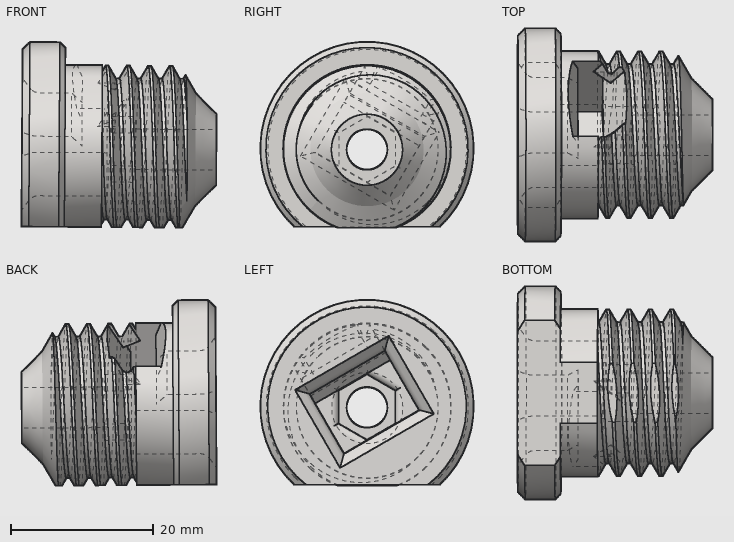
import cadquery as cq
import math


overlap = 1.0

head_radius = 15.0
head_length = 6.05
head_front_chamfer = 1.05
head_back_chamfer = 0.8
neck_radius = 11.8
neck_end = 11.25
tip_radius = 5.0
tip_chamfer = 2.95
tip_cone_angle = 60.0
total_length = 27.35
flat_depth = 11.0
body_tilt = 0.4

pitch = 3.0
crest_radius = 11.75
root_radius = 9.95
crest_width = 0.4
flank_angle = 30.0
thread_start = 7.37
ridge_embed = 0.3

passage_roll = -30.0
slot_half_width = 6.1
slot_bottom = -4.1
slot_top = 5.55
slot_end = 11.94
entry_chamfer = 1.5
entry_round = 2.0
lip_height = 1.5
window_start = 8.4
window_flare_height = 8.1
window_flare_angle = 20.5
window_roof_height = 5.35
window_roof_angle = 30.0
cutter_reach = 16.0
corner_web_height = 7.2
corner_web_length = 2.4
corner_web_width = 1.87

nut_flats = 8.0
nut_round = 0.93
nut_depth = 4.0
bolt_diameter = 5.7


def make_ridge():
    """Right-handed helical ridge, long enough to run out past both ends of the thread."""
    base_radius = root_radius - ridge_embed
    half_crest = crest_width / 2
    half_base = half_crest + (crest_radius - base_radius) * math.tan(math.radians(flank_angle))
    height = total_length - thread_start
    helix = cq.Wire.makeHelix(pitch, height, root_radius)
    ridge = (
        cq.Workplane("XZ")
        .polyline([
            (base_radius, -half_base),
            (crest_radius, -half_crest),
            (crest_radius, half_crest),
            (base_radius, half_base),
        ])
        .close()
        .sweep(cq.Workplane(obj=helix), isFrenet=True)
    )
    return ridge.rotate((0, 0, 0), (0, 1, 0), 90).translate((thread_start, 0, 0))


def make_shank():
    """Threaded shank with a conical lead-in and a chamfered tip; its ridge starts inside the neck."""
    shoulder_x = total_length - tip_chamfer
    shoulder_radius = tip_radius + tip_chamfer
    cone_slope = math.tan(math.radians(tip_cone_angle))
    lead_in_x = shoulder_x - (neck_radius - shoulder_radius) / cone_slope
    waste_end = total_length + pitch
    tip_waste = (
        cq.Workplane("XY")
        .moveTo(lead_in_x, neck_radius)
        .lineTo(shoulder_x, shoulder_radius)
        .lineTo(total_length, tip_radius)
        .lineTo(total_length, 0)
        .lineTo(waste_end, 0)
        .lineTo(waste_end, neck_radius)
        .close()
        .revolve(360, (0, 0, 0), (1, 0, 0))
    )
    core = cq.Workplane("YZ").circle(root_radius).extrude(total_length + overlap)
    return core.union(make_ridge()).cut(tip_waste)


def make_blank():
    """Head, neck and shank with one flat along the underside."""
    front_radius = head_radius - head_front_chamfer
    back_radius = head_radius - head_back_chamfer
    head_and_neck = (
        cq.Workplane("XY")
        .moveTo(0, 0)
        .lineTo(0, front_radius)
        .lineTo(head_front_chamfer, head_radius)
        .lineTo(head_length - head_back_chamfer, head_radius)
        .lineTo(head_length, back_radius)
        .lineTo(head_length, neck_radius)
        .lineTo(neck_end, neck_radius)
        .lineTo(neck_end, 0)
        .close()
        .revolve(360, (0, 0, 0), (1, 0, 0))
    )
    above_flat = cq.Workplane("XY", origin=(0, 0, -flat_depth)).box(
        2 * (total_length + overlap),
        2 * (head_radius + overlap),
        flat_depth + head_radius + overlap,
        centered=(True, True, False),
    )
    return head_and_neck.union(make_shank()).intersect(above_flat)


entry_angle = math.radians(45)
blend_tangent = entry_round * math.tan(entry_angle / 2)
blend_start = entry_chamfer - blend_tangent * math.sin(entry_angle)
blend_end = entry_chamfer + blend_tangent
blend_middle_x = blend_end - entry_round * math.sin(entry_angle / 2)
blend_middle_offset = entry_round * (1 - math.cos(entry_angle / 2))


def entry_side(profile, wall, outward):
    """Draw one entry side from the slot wall out to the head face; outward is +1 or -1."""
    return (
        profile.lineTo(blend_end, wall)
        .threePointArc(
            (blend_middle_x, wall + outward * blend_middle_offset),
            (blend_start, wall + outward * (entry_chamfer - blend_start)),
        )
        .lineTo(0, wall + outward * entry_chamfer)
    )


def make_corner_web(side):
    """Wedge left standing in a roof corner of the window; side is +1 or -1."""
    roof_slope = math.tan(math.radians(window_roof_angle))
    corner_x = slot_end + (corner_web_height - window_roof_height) * roof_slope
    wall = side * slot_half_width
    triangle = cq.Wire.makePolygon(
        [
            cq.Vector(corner_x, wall, corner_web_height),
            cq.Vector(corner_x - corner_web_length, wall, corner_web_height),
            cq.Vector(corner_x, wall - side * corner_web_width, corner_web_height),
        ],
        close=True,
    )
    rise = cutter_reach - corner_web_height
    along_roof = cq.Vector(rise * roof_slope, 0, rise)
    return cq.Workplane(obj=cq.Solid.extrudeLinear(triangle, [], along_roof))


def make_passage():
    """Strap passage: the side profile intersected with the width profile."""
    flare_run = (cutter_reach - window_flare_height) * math.tan(math.radians(window_flare_angle))
    roof_run = (cutter_reach - window_roof_height) * math.tan(math.radians(window_roof_angle))
    width_end = slot_end + roof_run

    side_profile = cq.Workplane("XZ").moveTo(slot_end, slot_bottom)
    side_profile = entry_side(side_profile, slot_bottom, -1)
    side_profile = (
        side_profile.lineTo(0, slot_top + entry_chamfer)
        .lineTo(blend_start, slot_top + entry_chamfer - blend_start)
        .threePointArc((blend_middle_x, slot_top + blend_middle_offset), (blend_end, slot_top))
        .lineTo(window_start - lip_height, slot_top)
        .lineTo(window_start, slot_top - lip_height)
        .lineTo(window_start, window_flare_height)
        .lineTo(window_start - flare_run, cutter_reach)
        .lineTo(width_end, cutter_reach)
        .lineTo(slot_end, window_roof_height)
        .close()
        .extrude(cutter_reach, both=True)
    )

    half_width = cq.Workplane("XY").moveTo(width_end, 0).lineTo(width_end, slot_half_width)
    half_width = entry_side(half_width, slot_half_width, 1).lineTo(0, 0).close()
    half_width = half_width.extrude(cutter_reach, both=True)
    full_width = half_width.union(half_width.mirror("XZ"))

    passage = side_profile.intersect(full_width)
    for side in (-1, 1):
        passage = passage.cut(make_corner_web(side))
    return passage


def make_nut_pocket():
    """Hexagonal pocket with a rounded rim, as three crossed slabs, kept above the slot floor."""
    half_flats = nut_flats / 2
    rim = half_flats + nut_round
    rim_end = slot_end + nut_round
    pocket_end = slot_end + nut_depth
    middle = nut_round * (1 - math.sin(math.radians(45)))
    slab = (
        cq.Workplane("XZ")
        .moveTo(slot_end, -rim)
        .threePointArc((slot_end + middle, -half_flats - middle), (rim_end, -half_flats))
        .lineTo(pocket_end, -half_flats)
        .lineTo(pocket_end, half_flats)
        .lineTo(rim_end, half_flats)
        .threePointArc((slot_end + middle, half_flats + middle), (slot_end, rim))
        .close()
        .extrude(2 * rim, both=True)
    )
    pocket = slab
    for angle in (60, 120):
        pocket = pocket.intersect(slab.rotate((0, 0, 0), (1, 0, 0), angle))
    above_floor = cq.Workplane("XY", origin=(slot_end, 0, slot_bottom)).box(
        nut_depth, 4 * rim, 4 * rim, centered=(False, True, False)
    )
    return pocket.intersect(above_floor)


bolt_hole = (
    cq.Workplane("YZ", origin=(slot_end - overlap, 0, 0))
    .circle(bolt_diameter / 2)
    .extrude(total_length)
)
plug = make_blank()
for cutter in (make_passage(), make_nut_pocket(), bolt_hole):
    plug = plug.cut(cutter.rotate((0, 0, 0), (1, 0, 0), passage_roll))

result = plug.rotate((0, 0, 0), (0, 1, 0), body_tilt)